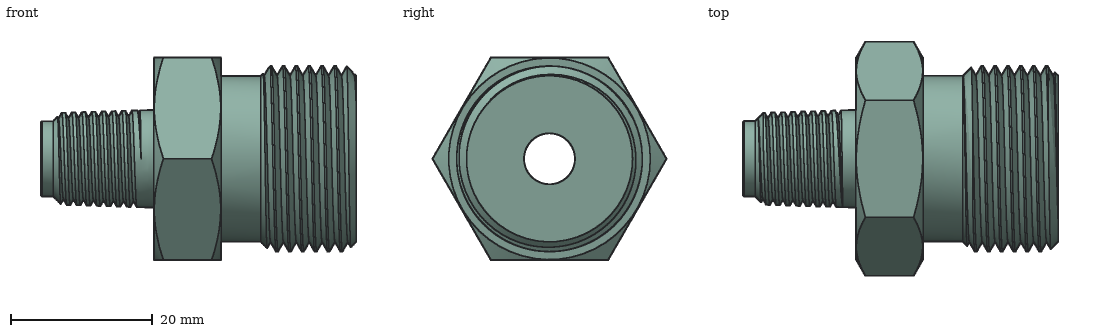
import cadquery as cq
import math

OVERALL_LENGTH = 44.45
TIP_END = 1.75
TAPER_END = 15.2
HEX_START = 15.95
HEX_END = 25.4
NECK_END = 31.0

BORE_DIAMETER = 7.144
TIP_DIAMETER = 10.65
TIP_EDGE_CHAMFER = 0.2
NECK_DIAMETER = 23.4
HEX_SIDES = 6
HEX_ACROSS_FLATS = 28.575
HEX_FACE_DIAMETER = 28.4
HEX_CHAMFER_ANGLE = 30

INCH = 25.4
FLANK_ANGLE = 30
GROOVE_CLEARANCE = 0.1

PIPE_THREADS_PER_INCH = 18
PIPE_PITCH = INCH / PIPE_THREADS_PER_INCH
PIPE_END_DIAMETER = 13.76
PIPE_TAPER_SLOPE = 1 / 32
PIPE_TAPER_ANGLE = math.degrees(math.atan(PIPE_TAPER_SLOPE))
PIPE_GROOVE_DEPTH = 0.8
PIPE_FIRST_ROOT = 1.79
PIPE_TURNS = 8.2
PIPE_RUNOUT_TURNS = 0.6

OUTLET_THREADS_PER_INCH = 14
OUTLET_PITCH = INCH / OUTLET_THREADS_PER_INCH
OUTLET_DIAMETER = 1.030 * INCH
OUTLET_ROOT_DIAMETER = 23.5
OUTLET_FIRST_ROOT = 28.75
OUTLET_TURNS = 10


def pipe_crest_radius(x):
    """Crest radius of the tapered thread at station x."""
    return PIPE_END_DIAMETER / 2 - (TAPER_END - x) * PIPE_TAPER_SLOPE


def turned_body():
    """Revolve the stepped outline of the small end and the neck, without hexagon and grooves."""
    tip = TIP_DIAMETER / 2
    neck = NECK_DIAMETER / 2
    lead_in = (pipe_crest_radius(TIP_END) - tip) / (1 - PIPE_TAPER_SLOPE)
    return (
        cq.Workplane("XY")
        .moveTo(0, 0)
        .lineTo(0, tip - TIP_EDGE_CHAMFER)
        .lineTo(TIP_EDGE_CHAMFER, tip)
        .lineTo(TIP_END, tip)
        .lineTo(TIP_END + lead_in, tip + lead_in)
        .lineTo(TAPER_END, PIPE_END_DIAMETER / 2)
        .lineTo(HEX_START, PIPE_END_DIAMETER / 2)
        .lineTo(HEX_START, neck)
        .lineTo(NECK_END, neck)
        .lineTo(NECK_END, 0)
        .close()
        .revolve(360, (0, 0, 0), (1, 0, 0))
    )


def hexagon():
    """Wrench hexagon with flats facing +Z and -Z and both faces chamfered at the corners."""
    corner = HEX_ACROSS_FLATS / 2 / math.cos(math.pi / HEX_SIDES)
    face_radius = HEX_FACE_DIAMETER / 2
    chamfer = (corner - face_radius) * math.tan(math.radians(HEX_CHAMFER_ANGLE))
    prism = (
        cq.Workplane("YZ")
        .workplane(offset=HEX_START)
        .polygon(HEX_SIDES, 2 * corner)
        .extrude(HEX_END - HEX_START)
    )
    envelope = (
        cq.Workplane("XY")
        .moveTo(HEX_START, 0)
        .lineTo(HEX_START, face_radius)
        .lineTo(HEX_START + chamfer, corner)
        .lineTo(HEX_END - chamfer, corner)
        .lineTo(HEX_END, face_radius)
        .lineTo(HEX_END, 0)
        .close()
        .revolve(360, (0, 0, 0), (1, 0, 0))
    )
    return prism.intersect(envelope)


def thread_groove(start, turns, pitch, root_radius, depth, cone_angle=0, start_turn=0):
    """V groove wound about X; start_turn is its first angle in turns after -Z."""
    if cone_angle:
        slant_pitch = pitch / math.cos(math.radians(cone_angle))
        path = cq.Wire.makeHelix(slant_pitch, turns * slant_pitch, root_radius, angle=cone_angle)
    else:
        path = cq.Wire.makeHelix(pitch, turns * pitch, root_radius)
    height = depth + GROOVE_CLEARANCE
    half_width = height * math.tan(math.radians(FLANK_ANGLE))
    groove = (
        cq.Workplane("XZ")
        .moveTo(root_radius, 0)
        .lineTo(root_radius + height, half_width)
        .lineTo(root_radius + height, -half_width)
        .close()
        .sweep(cq.Workplane(path), isFrenet=True)
    )
    return (
        groove.rotate((0, 0, 0), (0, 0, 1), 360 * start_turn)
        .rotate((0, 0, 0), (0, 1, 0), 90)
        .translate((start, 0, 0))
    )


def pipe_grooves():
    """Tapered groove of the small end, then the steeper turn that runs it out to the surface."""
    runout_start = PIPE_FIRST_ROOT + PIPE_TURNS * PIPE_PITCH
    runout_rise = PIPE_GROOVE_DEPTH + GROOVE_CLEARANCE
    runout_angle = math.degrees(math.atan(runout_rise / (PIPE_RUNOUT_TURNS * PIPE_PITCH)))
    full = thread_groove(
        PIPE_FIRST_ROOT,
        PIPE_TURNS,
        PIPE_PITCH,
        pipe_crest_radius(PIPE_FIRST_ROOT) - PIPE_GROOVE_DEPTH,
        PIPE_GROOVE_DEPTH,
        PIPE_TAPER_ANGLE,
    )
    runout = thread_groove(
        runout_start,
        PIPE_RUNOUT_TURNS,
        PIPE_PITCH,
        pipe_crest_radius(runout_start) - PIPE_GROOVE_DEPTH,
        PIPE_GROOVE_DEPTH,
        runout_angle,
        PIPE_TURNS,
    )
    return [full, runout]


def outlet_thread():
    """Straight thread of the large end; the 45 degree end chamfers are taken after the groove."""
    length = OVERALL_LENGTH - NECK_END
    blank = (
        cq.Workplane("YZ")
        .workplane(offset=NECK_END)
        .circle(OUTLET_DIAMETER / 2)
        .extrude(length)
    )
    chamfered = blank.edges().chamfer((OUTLET_DIAMETER - NECK_DIAMETER) / 2)
    groove = thread_groove(
        OUTLET_FIRST_ROOT,
        OUTLET_TURNS,
        OUTLET_PITCH,
        OUTLET_ROOT_DIAMETER / 2,
        (OUTLET_DIAMETER - OUTLET_ROOT_DIAMETER) / 2,
    )
    return blank.cut(groove).intersect(chamfered)


def bore():
    """Straight passage through the whole fitting."""
    return cq.Workplane("YZ").circle(BORE_DIAMETER / 2).extrude(OVERALL_LENGTH)


result = turned_body()
for groove in pipe_grooves():
    result = result.cut(groove)
result = result.union(hexagon()).union(outlet_thread()).cut(bore())